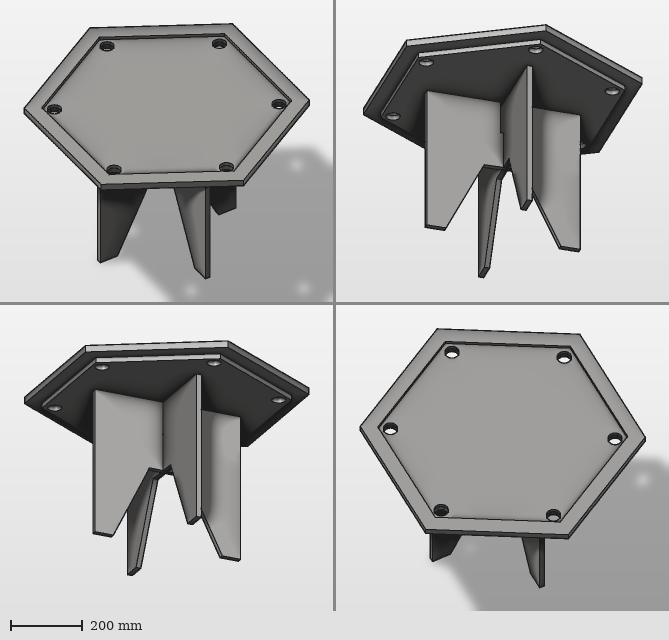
import cadquery as cq

tray_radius = 398.0
tray_thickness = 20.0
recess_depth = 9.5

board_radius = 349.0
board_thickness = 15.0

hole_count = 6
hole_diameter = 40.0
hole_circle_radius = 314.0
hole_turn = -0.5

leg_height = 434.0
leg_width = 449.0
foot_width = 56.5
arch_top_width = 113.0
arch_high_side = 226.0
arch_low_side = 224.0
panel_thickness = 15.0
slot_depth = 98.0
slot_clearance = 9.0

board_bottom = leg_height
tray_bottom = board_bottom + board_thickness
tray_top = tray_bottom + tray_thickness
slot_floor = leg_height - slot_depth


def hexagon(radius, bottom, thickness):
    """Hexagonal plate with two corners on the X axis."""
    return cq.Workplane("XY").workplane(offset=bottom).polygon(6, 2 * radius).extrude(thickness)


def hole_cutters():
    """Cylinders near the six corners, reaching through tray and board."""
    return (
        cq.Workplane("XY")
        .workplane(offset=board_bottom)
        .polarArray(hole_circle_radius, hole_turn, 360, hole_count)
        .circle(hole_diameter / 2)
        .extrude(tray_top - board_bottom)
    )


def make_tray():
    recess = hexagon(board_radius, tray_top - recess_depth, recess_depth)
    return hexagon(tray_radius, tray_bottom, tray_thickness).cut(recess).cut(hole_cutters())


def make_board():
    return hexagon(board_radius, board_bottom, board_thickness).cut(hole_cutters())


def leg_panel():
    """Panel along X with its two feet, standing between Y = 0 and Y = -thickness."""
    half_width = leg_width / 2
    foot_inner = half_width - foot_width
    half_arch = arch_top_width / 2
    outline = [
        (-half_width, 0),
        (-foot_inner, 0),
        (-half_arch, arch_high_side),
        (half_arch, arch_low_side),
        (foot_inner, 0),
        (half_width, 0),
        (half_width, leg_height),
        (-half_width, leg_height),
    ]
    return (
        cq.Workplane("XZ")
        .polyline(outline)
        .close()
        .extrude(panel_thickness)
    )


def make_upper_panel():
    """Panel along X, notched from below to straddle the lower panel."""
    notch = (
        cq.Workplane("XY")
        .box(panel_thickness, panel_thickness, slot_floor, centered=(True, False, False))
        .translate((0, -panel_thickness, 0))
    )
    return leg_panel().cut(notch)


def make_lower_panel():
    """Panel along Y, centred on X = 0, slotted from its top edge."""
    panel = (
        leg_panel()
        .translate((0, panel_thickness / 2, 0))
        .rotate((0, 0, 0), (0, 0, 1), 90)
    )
    slot = (
        cq.Workplane("XY")
        .box(panel_thickness, panel_thickness + slot_clearance, slot_depth, centered=(True, False, False))
        .translate((0, -panel_thickness, slot_floor))
    )
    return panel.cut(slot)


tray = make_tray()
board = make_board()
upper_panel = make_upper_panel()
lower_panel = make_lower_panel()

result = cq.Compound.makeCompound([
    tray.val(),
    board.val(),
    upper_panel.val(),
    lower_panel.val(),
])